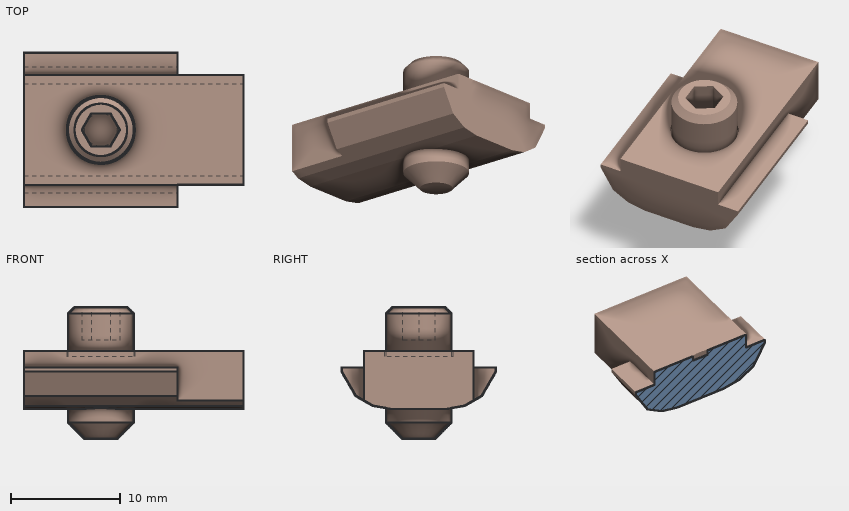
import cadquery as cq
import math


nut_length = 20.0
neck_width = 10.0
nut_height = 5.3
wing_length = 14.0
wing_width = 14.06
wing_top_z = -1.5
wing_edge_height = 0.38

steep_slope = 60.0
middle_slope = 30.0
shallow_slope = 10.0
steep_bottom_z = -4.1
middle_bottom_z = -5.0

screw_x = 7.0
screw_radius = 3.0
screw_top_z = 4.0
screw_length = 12.0
head_chamfer = 0.61
tip_height = 1.5
tip_radius = 1.5
socket_sides = 6
socket_across_flats = 3.0
socket_depth = 3.0

relief_radius = 3.1
relief_depth = 0.5


def run_of(drop, slope):
    """Horizontal distance covered by a facet that falls by drop."""
    return drop / math.tan(math.radians(slope))


def make_nut():
    """Extrude the T profile along X and trim the wings beyond their length."""
    neck_half = neck_width / 2
    wing_half = wing_width / 2
    wing_edge_z = wing_top_z - wing_edge_height
    steep_y = wing_half - run_of(wing_edge_z - steep_bottom_z, steep_slope)
    middle_y = steep_y - run_of(steep_bottom_z - middle_bottom_z, middle_slope)
    flat_y = middle_y - run_of(middle_bottom_z + nut_height, shallow_slope)

    half_profile = [
        (neck_half, 0),
        (neck_half, wing_top_z),
        (wing_half, wing_top_z),
        (wing_half, wing_edge_z),
        (steep_y, steep_bottom_z),
        (middle_y, middle_bottom_z),
        (flat_y, -nut_height),
    ]
    mirrored_half = [(-y, z) for y, z in reversed(half_profile)]
    body = cq.Workplane("YZ").polyline(half_profile + mirrored_half).close().extrude(nut_length)

    winged_part = cq.Workplane("XY").box(
        wing_length, wing_width, nut_height, centered=(False, True, False)
    )
    neck_part = cq.Workplane("XY").box(
        nut_length, neck_width, nut_height, centered=(False, True, False)
    )
    envelope = winged_part.union(neck_part).translate((0, 0, -nut_height))
    return body.intersect(envelope)


def cut_relief(nut):
    relief = cq.Workplane("XY").center(screw_x, 0).circle(relief_radius).extrude(-relief_depth)
    return nut.cut(relief)


def make_screw():
    """Revolve the screw about its own axis."""
    screw_bottom_z = screw_top_z - screw_length
    profile = [
        (0, screw_bottom_z),
        (tip_radius, screw_bottom_z),
        (screw_radius, screw_bottom_z + tip_height),
        (screw_radius, screw_top_z - head_chamfer),
        (screw_radius - head_chamfer, screw_top_z),
        (0, screw_top_z),
    ]
    screw = cq.Workplane("XZ").polyline(profile).close().revolve(360, (0, 0), (0, 1))
    return screw.translate((screw_x, 0, 0))


def make_socket():
    """Hexagon with two flats parallel to X."""
    across_corners = socket_across_flats / math.cos(math.pi / socket_sides)
    return (
        cq.Workplane("XY", origin=(screw_x, 0, screw_top_z))
        .polygon(socket_sides, across_corners)
        .extrude(-socket_depth)
    )


result = cut_relief(make_nut()).union(make_screw()).cut(make_socket())